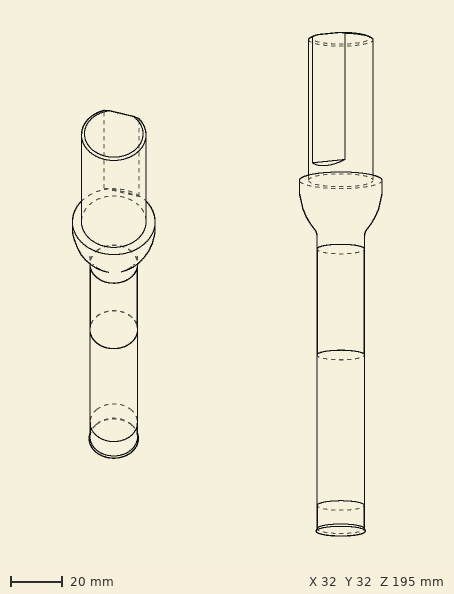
import cadquery as cq
import math

total_length = 195.0
collar_top = 139.0
collar_bottom = 133.8
neck_top = 117.4
neck_bottom = 112.0
stem_step = 70.2
seat_taper_top = 13.8
head_top = 11.0
lip_top = 1.8
lip_bottom = 0.8

shank_diameter = 25.0
collar_diameter = 32.0
stem_diameter = 18.5
reduced_diameter = 18.3
lip_diameter = 19.1

neck_fillet_radius = 3.9
blend_angle = math.radians(40)

chamfer_width = 1.2
chamfer_height = 0.5
flat_offset = 10.3
flat_end = 144.7

shank_radius = shank_diameter / 2
collar_radius = collar_diameter / 2
stem_radius = stem_diameter / 2
reduced_radius = reduced_diameter / 2
lip_radius = lip_diameter / 2


def revolve_about_z(profile):
    """Revolve a closed (radius, height) profile about the Z axis."""
    return profile.close().revolve(360, (0, 0, 0), (0, 1, 0))


def make_flat_cutter():
    """Prism that leaves the clamping flat on the +Y side with a 45 degree run-out."""
    clear_y = collar_radius
    run_out = clear_y - flat_offset
    return (
        cq.Workplane("YZ")
        .moveTo(flat_offset, total_length)
        .lineTo(flat_offset, flat_end)
        .lineTo(clear_y, flat_end - run_out)
        .lineTo(clear_y, total_length)
        .close()
        .extrude(shank_radius, both=True)
    )


def make_shank():
    """Chamfered cylindrical shank with its clamping flat."""
    blank = revolve_about_z(
        cq.Workplane("XZ")
        .moveTo(0, collar_top)
        .lineTo(shank_radius, collar_top)
        .lineTo(shank_radius, total_length - chamfer_height)
        .lineTo(shank_radius - chamfer_width, total_length)
        .lineTo(0, total_length)
    )
    return blank.cut(make_flat_cutter())


def fillet_point(angle):
    """Point on the neck fillet where its slope from the axis equals the angle."""
    radius = stem_radius + neck_fillet_radius * (1 - math.cos(angle))
    return radius, neck_top + neck_fillet_radius * math.sin(angle)


def bulge_middle(blend_point):
    """Middle of the arc from the collar edge that is tangent to the neck fillet at its end."""
    radial = collar_radius - blend_point[0]
    axial = collar_bottom - blend_point[1]
    half_sweep = blend_angle - math.atan2(radial, axial)
    chord = math.hypot(radial, axial)
    rise = chord / 2 * math.tan(half_sweep / 2)
    middle_radius = blend_point[0] + radial / 2 + rise * axial / chord
    middle_level = blend_point[1] + axial / 2 - rise * radial / chord
    return middle_radius, middle_level


def make_holder():
    """Shank, collar, flare and stem, down to the joint with the cutting head."""
    blend_point = fillet_point(blend_angle)
    lower = revolve_about_z(
        cq.Workplane("XZ")
        .moveTo(0, collar_top)
        .lineTo(collar_radius, collar_top)
        .lineTo(collar_radius, collar_bottom)
        .threePointArc(bulge_middle(blend_point), blend_point)
        .threePointArc(fillet_point(blend_angle / 2), (stem_radius, neck_top))
        .lineTo(stem_radius, neck_bottom)
        .lineTo(reduced_radius, neck_bottom)
        .lineTo(reduced_radius, stem_step)
        .lineTo(stem_radius, stem_step)
        .lineTo(stem_radius, seat_taper_top)
        .lineTo(reduced_radius, head_top)
        .lineTo(0, head_top)
    )
    return lower.union(make_shank())


def make_cutting_head():
    """Short cylindrical head with a flared lip and a shallow conical end."""
    return revolve_about_z(
        cq.Workplane("XZ")
        .moveTo(0, head_top)
        .lineTo(reduced_radius, head_top)
        .lineTo(reduced_radius, lip_top)
        .lineTo(lip_radius, lip_bottom)
        .lineTo(0, 0)
    )


holder = make_holder()
cutting_head = make_cutting_head()
result = cq.Compound.makeCompound([holder.val(), cutting_head.val()])